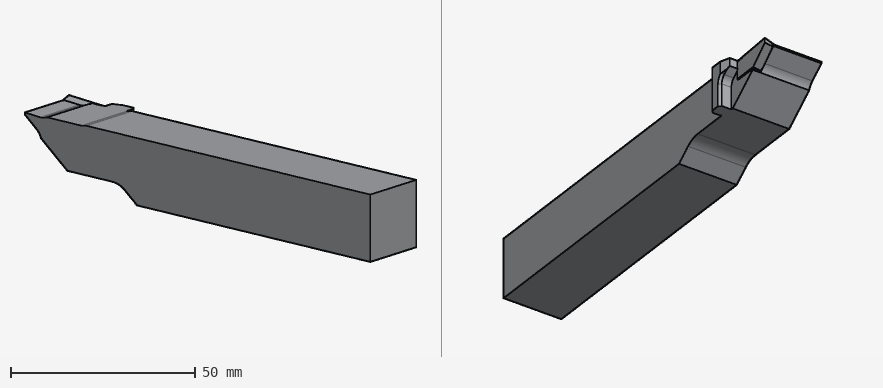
import cadquery as cq
import math

total_length = 125.0
shank_size = 19.05

head_drop = 0.3
head_side_inset = 0.4
head_top_end = 20.9
shank_top_start = 22.6
underside_height = 5.0
underside_slope_start = 41.1
underside_fillet = 7.5
relief_angle = 38.0

nose_x = 0.6
nose_top_z = 18.6
nose_bottom_z = 18.05
upper_relief_end_z = 14.7
lower_relief_start_z = 12.45
lower_relief_end_x = 16.0

jaw_end_x = 6.1
jaw_end_z = 18.3
jaw_land = 0.4
jaw_rise_end_x = 8.7

insert_width = 3.0
insert_tip_height = 19.25
insert_land_height = 1.55
insert_flank_angle = 41.0
insert_bottom_z = 12.8
insert_fall_back = 0.055
insert_fall_side = 0.19
insert_lead = 0.5

boss_reach = 3.5
boss_front_x = 13.3
boss_bevel_length = 3.0
boss_bevel_depth = 1.05
boss_chamfer = 0.75
boss_face_end_z = 16.2
boss_slope_end_z = 14.5
boss_arc_end_z = 12.1

overlap = 2.0
clearance = 1.0

head_top_z = shank_size - head_drop
head_side_y = shank_size - head_side_inset
insert_inner_y = shank_size - insert_width
boss_outer_y = shank_size + boss_reach
relief = math.radians(relief_angle)
relief_slope = math.tan(relief)

boss_slope_end_x = boss_front_x + (boss_face_end_z - boss_slope_end_z) / relief_slope
boss_arc_radius = (boss_slope_end_z - boss_arc_end_z) / math.cos(relief)
boss_lower_front_x = boss_slope_end_x + boss_arc_radius * (1 - math.sin(relief))


def extrude_along_y(profile, y_start, y_end):
    """Extrude a closed XZ profile from y_start to y_end."""
    return profile.extrude(-(y_end - y_start)).translate((0, y_start, 0))


def make_holder_bar():
    """Shank and head as one side profile extruded across the shank width."""
    upper_relief_end_x = nose_x + (nose_bottom_z - upper_relief_end_z) / relief_slope
    lower_relief_start_x = lower_relief_end_x - (lower_relief_start_z - underside_height) / relief_slope
    underside_slope_end = underside_slope_start - underside_height / relief_slope
    fillet_tangent = underside_fillet * math.tan(relief / 2)
    fillet_end = (
        underside_slope_end + fillet_tangent * math.cos(relief),
        underside_height - fillet_tangent * math.sin(relief),
    )

    profile = (
        cq.Workplane("XZ")
        .moveTo(nose_x, nose_top_z)
        .lineTo(nose_x, nose_bottom_z)
        .lineTo(upper_relief_end_x, upper_relief_end_z)
        .tangentArcPoint((lower_relief_start_x, lower_relief_start_z), relative=False)
        .lineTo(lower_relief_end_x, underside_height)
        .lineTo(underside_slope_end - fillet_tangent, underside_height)
        .tangentArcPoint(fillet_end, relative=False)
        .lineTo(underside_slope_start, 0)
        .lineTo(total_length, 0)
        .lineTo(total_length, shank_size)
        .lineTo(shank_top_start, shank_size)
    )
    shank_rise_radius = rise_radius(shank_top_start - head_top_end, head_drop)
    jaw_rise_start = jaw_end_x + jaw_land
    jaw_rise_radius = rise_radius(jaw_rise_end_x - jaw_rise_start, head_top_z - jaw_end_z)
    profile = (
        profile.radiusArc((head_top_end, head_top_z), shank_rise_radius)
        .lineTo(jaw_rise_end_x, head_top_z)
        .radiusArc((jaw_rise_start, jaw_end_z), jaw_rise_radius)
        .lineTo(jaw_end_x, jaw_end_z)
        .close()
    )
    return extrude_along_y(profile, 0, shank_size)


def rise_radius(run, rise):
    """Radius of an arc that leaves the level and climbs by rise over run."""
    return (run**2 + rise**2) / (2 * rise)


def make_head_side_cut():
    """Thin slab that sets the head side back in front of the boss."""
    cut_height = shank_size + clearance
    return cq.Workplane("XY").box(
        boss_lower_front_x, head_side_inset + clearance, cut_height, centered=False
    ).translate((0, head_side_y, 0))


def make_boss():
    """Side boss with a bevelled outer edge and a stepped front face."""
    side_profile = (
        cq.Workplane("XZ")
        .moveTo(boss_front_x, head_top_z)
        .lineTo(boss_front_x, boss_face_end_z)
        .lineTo(boss_slope_end_x, boss_slope_end_z)
        .tangentArcPoint((boss_lower_front_x, boss_arc_end_z), relative=False)
        .lineTo(boss_lower_front_x, underside_height)
        .lineTo(head_top_end, underside_height)
        .lineTo(head_top_end, head_top_z)
        .close()
    )
    side_body = extrude_along_y(side_profile, shank_size - overlap, boss_outer_y)
    side_body = side_body.edges(
        cq.selectors.NearestToPointSelector(
            (boss_lower_front_x, boss_outer_y, (underside_height + boss_arc_end_z) / 2)
        )
    ).chamfer(boss_chamfer)

    plan_body = (
        cq.Workplane("XY")
        .moveTo(boss_front_x, shank_size - overlap)
        .lineTo(boss_front_x, boss_outer_y - boss_bevel_depth)
        .lineTo(boss_front_x + boss_bevel_length, boss_outer_y)
        .lineTo(head_top_end - boss_chamfer, boss_outer_y)
        .lineTo(head_top_end, boss_outer_y - boss_chamfer)
        .lineTo(head_top_end, shank_size - overlap)
        .close()
        .extrude(shank_size)
    )
    return side_body.intersect(plan_body)


def insert_section(y, front_x):
    """Closed XZ outline of the insert at one Y station."""
    front_z = insert_tip_height - insert_fall_side * (shank_size - y) - insert_fall_back * front_x
    back_z = front_z - insert_fall_back * (boss_front_x - front_x)
    land_z = insert_tip_height - insert_land_height
    flank_run = (land_z - insert_bottom_z) / math.tan(math.radians(insert_flank_angle))
    points = [
        (front_x, front_z),
        (front_x, land_z),
        (front_x + flank_run, insert_bottom_z),
        (boss_front_x, insert_bottom_z),
        (boss_front_x, back_z),
    ]
    return cq.Wire.makePolygon([cq.Vector(x, y, z) for x, z in points], close=True)


def make_insert():
    """Insert whose cutting edge and top face are skewed across its width."""
    outer = insert_section(shank_size, 0)
    inner = insert_section(insert_inner_y, insert_lead)
    return cq.Workplane(cq.Solid.makeLoft([outer, inner], True))


def make_insert_seat():
    """Open space over the insert in front of the head."""
    seat_height = shank_size + clearance - insert_bottom_z
    return cq.Workplane("XY").box(
        jaw_rise_end_x, insert_width + clearance, seat_height, centered=False
    ).translate((0, insert_inner_y, insert_bottom_z))


holder = make_holder_bar().cut(make_head_side_cut()).cut(make_insert_seat())
result = holder.union(make_boss()).union(make_insert())